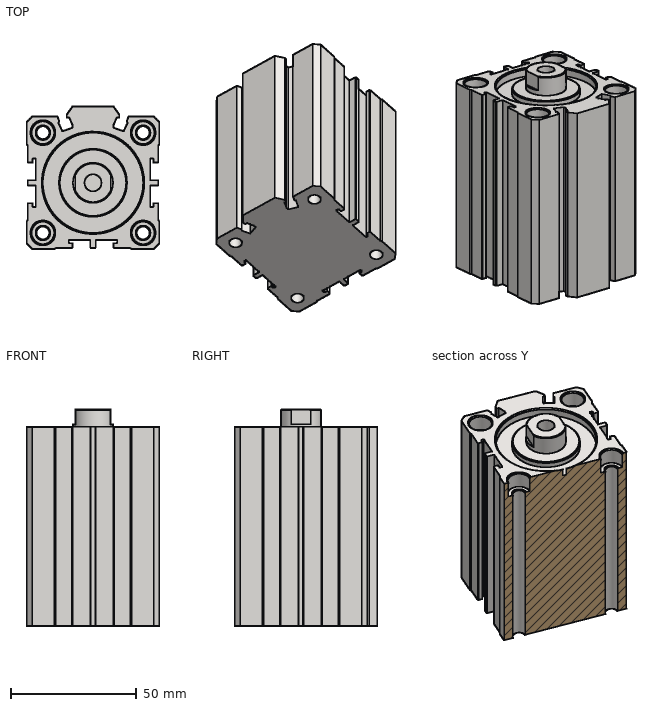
import cadquery as cq


width = 53.0
half_width = width / 2
body_height = 79.5
corner_chamfer = 2.25
side_relief = 0.4
relief_outer = 15.4
relief_inner = 14.8
relief_face = half_width - side_relief

slot_floor = 22.9
lip_inner_face = 24.1
slot_half_opening = 8.1
slot_half_undercut = 9.65
rib_half_width = 1.1
edge_break = 0.3

rail_top = 30.5
rail_top_half_width = 8.2
rail_max_half_width = 10.5
rail_shoulder = 27.2
rail_lip = 26.0
rail_neck_half_width = 9.5

notch_floor_inner = (8.25, 22.0)
notch_floor_outer = (12.2, 20.6)
notch_wall_inner_top = (8.25, 23.1)
notch_wall_outer_top = (13.75, 23.9)
notch_lip_outer = (13.4, 24.5)
notch_mouth_x = 14.2

recess_diameter = 40.0
recess_depth = 3.5
recess_chamfer = 0.5
boss_diameter = 27.2
boss_height = 2.5
boss_chamfer = 0.4
recess_floor = body_height - recess_depth
boss_top = recess_floor + boss_height

mount_pitch = 40.0
mount_hole_diameter = 5.1
mount_counterbore_diameter = 9.0
mount_counterbore_depth = 7.0
mount_mouth_chamfer = 0.5
mount_seat_chamfer = 0.4

rod_diameter = 16.0
rod_top = 86.5
rod_seat_depth = 10.0
rod_base = boss_top - rod_seat_depth
rod_chamfer = 0.3
flat_width = 14.0
flat_height = 6.0
thread_diameter = 6.8
thread_depth = 13.0


def cone_cut(center, diameter, chamfer, z):
    """Conical cutter that breaks the edge of a hole of this diameter at height z."""
    radius = diameter / 2
    cone = cq.Solid.makeCone(radius, radius + chamfer, chamfer, pnt=cq.Vector(*center, z - chamfer))
    return cq.Workplane(obj=cone)


def side_slot(side):
    """Cutter for one T-slot of the -Y face, on the +X (1) or -X (-1) side of the rib."""
    outline = [
        (rib_half_width, slot_floor),
        (slot_half_undercut, slot_floor),
        (slot_half_undercut, lip_inner_face - edge_break),
        (slot_half_undercut - edge_break, lip_inner_face),
        (slot_half_opening, lip_inner_face),
        (slot_half_opening, relief_face - edge_break),
        (slot_half_opening + edge_break, relief_face),
        (slot_half_opening + edge_break, half_width),
        (rib_half_width - edge_break, half_width),
        (rib_half_width - edge_break, relief_face),
        (rib_half_width, relief_face - edge_break),
    ]
    points = [(side * x, -y) for x, y in outline]
    return cq.Workplane("XY").polyline(points).close().extrude(body_height)


def side_relief_cut():
    """Shallow cutter for the middle of the -Y face."""
    points = [
        (-relief_outer, -half_width),
        (-relief_inner, -relief_face),
        (relief_inner, -relief_face),
        (relief_outer, -half_width),
    ]
    return cq.Workplane("XY").polyline(points).close().extrude(body_height)


def make_rail():
    """Rail on the +Y side, overlapping the housing block."""
    right = [
        (rail_top_half_width, rail_top),
        (rail_max_half_width, rail_shoulder),
        (rail_max_half_width, rail_lip),
    ]
    left = [(-x, y) for x, y in reversed(right)]
    return cq.Workplane("XY").polyline(right + left).close().extrude(body_height)


def rail_notch(side):
    """Cutter for the slanted slot between the rail and one corner of the housing."""
    outline = [
        notch_floor_inner,
        notch_floor_outer,
        notch_wall_outer_top,
        notch_lip_outer,
        (notch_mouth_x, half_width),
        (rail_max_half_width, half_width),
        (rail_max_half_width, rail_lip),
        (rail_neck_half_width, rail_lip),
        notch_wall_inner_top,
    ]
    points = [(side * x, y) for x, y in outline]
    return cq.Workplane("XY").polyline(points).close().extrude(body_height)


def make_housing():
    body = (
        cq.Workplane("XY")
        .rect(width, width)
        .extrude(body_height)
        .edges("|Z")
        .chamfer(corner_chamfer)
        .union(make_rail())
    )

    for angle in (0, 90, -90):
        for cutter in (side_relief_cut(), side_slot(1), side_slot(-1)):
            body = body.cut(cutter.rotate((0, 0, 0), (0, 0, 1), angle))

    for side in (1, -1):
        body = body.cut(rail_notch(side))

    recess = cq.Workplane("XY").workplane(offset=recess_floor).circle(recess_diameter / 2).extrude(recess_depth)
    boss = (
        cq.Workplane("XY")
        .workplane(offset=recess_floor)
        .circle(boss_diameter / 2)
        .extrude(boss_height)
        .faces(">Z")
        .chamfer(boss_chamfer)
    )
    body = body.cut(recess)
    body = body.cut(cone_cut((0, 0), recess_diameter, recess_chamfer, body_height))
    body = body.union(boss)

    offset = mount_pitch / 2
    counterbore_floor = body_height - mount_counterbore_depth
    for x in (-offset, offset):
        for y in (-offset, offset):
            hole = cq.Workplane("XY").center(x, y).circle(mount_hole_diameter / 2).extrude(body_height)
            counterbore = (
                cq.Workplane("XY")
                .workplane(offset=counterbore_floor)
                .center(x, y)
                .circle(mount_counterbore_diameter / 2)
                .extrude(mount_counterbore_depth)
            )
            body = body.cut(hole).cut(counterbore)
            body = body.cut(cone_cut((x, y), mount_hole_diameter, mount_seat_chamfer, counterbore_floor))
            body = body.cut(cone_cut((x, y), mount_counterbore_diameter, mount_mouth_chamfer, body_height))

    rod_seat = cq.Workplane("XY").workplane(offset=rod_base).circle(rod_diameter / 2).extrude(rod_seat_depth)
    return body.cut(rod_seat)


def make_rod():
    rod = (
        cq.Workplane("XY")
        .workplane(offset=rod_base)
        .circle(rod_diameter / 2)
        .extrude(rod_top - rod_base)
        .faces(">Z")
        .chamfer(rod_chamfer)
    )

    between_flats = (
        cq.Workplane("XY")
        .workplane(offset=rod_base)
        .rect(flat_width, rod_diameter)
        .extrude(rod_top - rod_base)
    )
    full_round = (
        cq.Workplane("XY")
        .workplane(offset=rod_base)
        .circle(rod_diameter / 2)
        .extrude(rod_top - flat_height - rod_base)
    )
    rod = rod.intersect(between_flats.union(full_round))

    thread_hole = (
        cq.Workplane("XY")
        .workplane(offset=rod_top - thread_depth)
        .circle(thread_diameter / 2)
        .extrude(thread_depth)
    )
    return rod.cut(thread_hole)


housing = make_housing()
rod = make_rod()

result = cq.Compound.makeCompound([housing.solids().val(), rod.solids().val()])